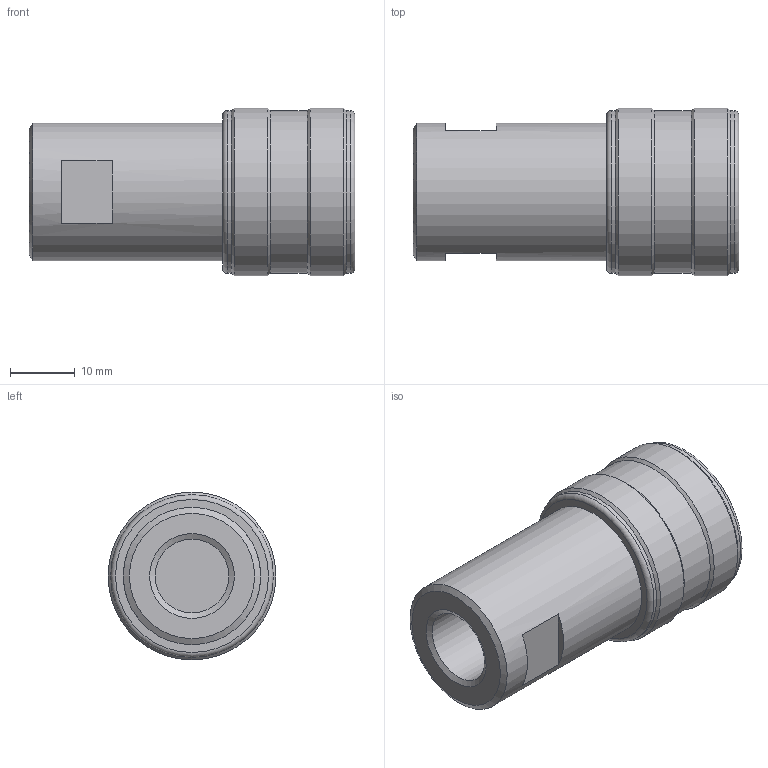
import cadquery as cq
import math

total_length = 50.5
end_slope = math.tan(math.radians(30))

body_radius = 21.3 / 2
body_length = 30.0
body_chamfer_depth = 0.95
body_chamfer_length = body_chamfer_depth * end_slope

sleeve_radius = 12.6
sleeve_edge_radius = 0.75
band_radius = 26.03 / 2
band_ramp = 0.45
band_base_length = 6.05
band_offsets = (1.35, 13.1)

port_radius = 11.445 / 2
port_mouth_radius = 13.157 / 2
port_depth = 12.0

flat_start = 5.0
flat_length = 7.9
across_flats = 19.0


def make_body():
    """Cylinder with a shallow chamfer at the open end."""
    return (
        cq.Workplane("YZ")
        .circle(body_radius)
        .extrude(body_length)
        .faces("<X")
        .chamfer(body_chamfer_length, body_chamfer_depth)
    )


def make_sleeve():
    """Larger cylinder with rounded outer edges at both ends."""
    return (
        cq.Workplane("YZ", origin=(body_length, 0, 0))
        .circle(sleeve_radius)
        .extrude(total_length - body_length)
        .edges()
        .fillet(sleeve_edge_radius)
    )


def make_band(start):
    """Raised ring with sloping sides, starting at X = start."""
    end = start + band_base_length
    return (
        cq.Workplane("XY")
        .moveTo(start, 0)
        .lineTo(start, sleeve_radius)
        .lineTo(start + band_ramp, band_radius)
        .lineTo(end - band_ramp, band_radius)
        .lineTo(end, sleeve_radius)
        .lineTo(end, 0)
        .close()
        .revolve(360, (0, 0, 0), (1, 0, 0))
    )


def cut_port(part):
    """Flat-bottomed bore with a shallow countersunk mouth."""
    mouth_depth = (port_mouth_radius - port_radius) * end_slope
    port = (
        cq.Workplane("XY")
        .lineTo(0, port_mouth_radius)
        .lineTo(mouth_depth, port_radius)
        .lineTo(port_depth, port_radius)
        .lineTo(port_depth, 0)
        .close()
        .revolve(360, (0, 0, 0), (1, 0, 0))
    )
    return part.cut(port)


def cut_flats(part):
    """Two parallel flats, one on each side of the body."""
    flat_depth = body_radius - across_flats / 2
    for side in (-1, 1):
        center = (flat_start + flat_length / 2, side * (across_flats + flat_depth) / 2, 0)
        cutter = cq.Workplane("XY", origin=center).box(flat_length, flat_depth, 2 * body_radius)
        part = part.cut(cutter)
    return part


result = make_body().union(make_sleeve())
for offset in band_offsets:
    result = result.union(make_band(body_length + offset))
result = cut_port(result)
result = cut_flats(result)